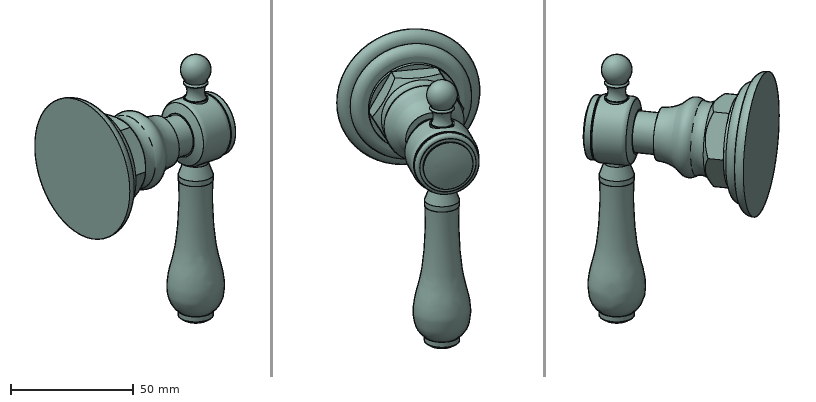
import cadquery as cq
import math


BASE_R = 29.97
BASE_TOP_Y = 4.75
BASE_TOP_R = 25.9
STEP_R = 25.4
STEP_TOP_Y = 9.5
STEP_TOP_R = 21.6
COLLAR_R = 18.9
COLLAR_TOP_Y = 11.25

HEX_ACROSS_FLATS = 33.4
HEX_CORNER_R = HEX_ACROSS_FLATS / math.sqrt(3)
HEX_CHAMFER_Y = 17.6
HEX_TOP_Y = 20.45
HEX_TOP_R = 16.0

WAIST_R = 15.15
WAIST_Y = 23.3
BULGE_START_R = 15.6
BULGE_START_Y = 25.9
BULGE_R = 16.65
BULGE_Y = 28.6
BULGE_END_R = 15.65
BULGE_END_Y = 31.6
CONE_END_R = 13.3
CONE_END_Y = 34.5
FLARE_MID_R = 11.8
FLARE_MID_Y = 38.0
BONNET_END_R = 11.15
BONNET_TOP_Y = 42.75
BONNET_EDGE_R = 11.0
BONNET_EDGE_Y = 42.0

SPINDLE_R = 5.0
STEM_START_Y = 43.3
STEM_R = 8.65

HUB_BACK_Y = 52.15
HUB_BACK_R = 9.3
HUB_R = 14.25
HUB_SHOULDER_R = 13.4
HUB_SHOULDER_Y = 53.7
HUB_SIDE_START_Y = 55.6
HUB_SIDE_END_Y = 66.0
HUB_FRONT_R = 13.6
HUB_FRONT_Y = 68.1

GROOVE_R = 12.9
CAP_R = 13.4
CAP_START_Y = 68.7
CAP_SIDE_END_Y = 70.6
CAP_RIM_R = 11.8
CAP_RIM_Y = 71.75
RECESS_Y = 71.5
INSERT_R = 10.4
INSERT_EDGE_Y = 72.45
CAP_APEX_Y = 73.61

LEVER_LENGTH = 118.75
LEVER_Y = 60.95
BALL_R = 6.3
BALL_TOP_Z = 33.1
BALL_CENTER_Z = BALL_TOP_Z - BALL_R
BALL_BOTTOM_Z = 23.2
BALL_NECK_R = 4.4
BALL_NECK_Z = 21.8
RING_R = 5.1
RING_Z = 20.9
RING_BOTTOM_R = 4.5
RING_BOTTOM_Z = 20.4
KNOB_NECK_R = 3.65
KNOB_NECK_Z = 17.3
KNOB_FOOT_R = 4.4
KNOB_FOOT_Z = 14.35
KNOB_SEAT_R = 5.0

HANDLE_ROOT_R = 5.2
HANDLE_ROOT_Z = -14.6
HANDLE_CONE_Z = -20.0
HANDLE_BAND_R = 7.2
HANDLE_BAND_Z = -22.4
GRIP_TOP_R = 7.05
GRIP_WAIST_R = 7.15
GRIP_WAIST_Z = -38.0
GRIP_FLARE_R = 9.1
GRIP_FLARE_Z = -55.0
GRIP_MAX_R = 11.8
GRIP_MAX_Z = -71.2
GRIP_LOWER_R = 10.4
GRIP_LOWER_Z = -76.8
GRIP_END_R = 7.0
GRIP_END_Z = -80.6
TIP_R = 7.25
TIP_END_Z = -82.8
TIP_DOME_R = 6.9
TIP_DOME_Z = -83.2
TIP_BOTTOM_Z = BALL_TOP_Z - LEVER_LENGTH


def quarter_bulge(start, end):
    """Midpoint of a convex quarter ellipse leaving `start` along the axis."""
    half = math.sqrt(0.5)
    radius = end[0] + (start[0] - end[0]) * half
    height = start[1] + (end[1] - start[1]) * half
    return radius, height


def tangent_arc_mid(start, end):
    """Half-height point of a circular arc leaving `start` along the axis and curving inwards to `end`."""
    drop = start[0] - end[0]
    rise = end[1] - start[1]
    arc_radius = (drop**2 + rise**2) / (2 * drop)
    radius = start[0] - arc_radius + math.sqrt(arc_radius**2 - (rise / 2) ** 2)
    return radius, start[1] + rise / 2


def dome_mid(edge, apex_height):
    """Point at half the edge radius on a spherical cap from `edge` to its apex on the axis."""
    rise = apex_height - edge[1]
    depth = abs(rise)
    sphere_radius = (edge[0] ** 2 + depth**2) / (2 * depth)
    radius = edge[0] / 2
    drop = sphere_radius - math.sqrt(sphere_radius**2 - radius**2)
    return radius, apex_height - math.copysign(drop, rise)


def spin(profile):
    """Revolve a closed (radius, height) profile about its vertical axis."""
    return profile.close().revolve(360, (0, 0), (0, 1))


def make_escutcheon():
    base_start = (BASE_R, 0)
    base_end = (BASE_TOP_R, BASE_TOP_Y)
    step_start = (STEP_R, BASE_TOP_Y)
    step_end = (STEP_TOP_R, STEP_TOP_Y)
    profile = (
        cq.Workplane("XY")
        .lineTo(*base_start)
        .threePointArc(quarter_bulge(base_start, base_end), base_end)
        .lineTo(*step_start)
        .threePointArc(quarter_bulge(step_start, step_end), step_end)
        .lineTo(COLLAR_R, STEP_TOP_Y)
        .lineTo(COLLAR_R, COLLAR_TOP_Y)
        .lineTo(0, COLLAR_TOP_Y)
    )
    return spin(profile)


def make_hex_nut():
    """Hexagon with flats facing +Z and -Z, trimmed by a cone at its outer end."""
    prism = (
        cq.Workplane("XZ", origin=(0, COLLAR_TOP_Y, 0))
        .polygon(6, 2 * HEX_CORNER_R)
        .extrude(COLLAR_TOP_Y - HEX_TOP_Y)
    )
    envelope = spin(
        cq.Workplane("XY")
        .lineTo(HEX_CORNER_R, 0)
        .lineTo(HEX_CORNER_R, HEX_CHAMFER_Y)
        .lineTo(HEX_TOP_R, HEX_TOP_Y)
        .lineTo(0, HEX_TOP_Y)
    )
    return prism.intersect(envelope)


def make_bonnet_and_stem():
    profile = (
        cq.Workplane("XY")
        .moveTo(0, COLLAR_TOP_Y)
        .lineTo(HEX_TOP_R, COLLAR_TOP_Y)
        .lineTo(HEX_TOP_R, HEX_TOP_Y)
        .threePointArc((WAIST_R, WAIST_Y), (BULGE_START_R, BULGE_START_Y))
        .threePointArc((BULGE_R, BULGE_Y), (BULGE_END_R, BULGE_END_Y))
        .lineTo(CONE_END_R, CONE_END_Y)
        .threePointArc((FLARE_MID_R, FLARE_MID_Y), (BONNET_END_R, BONNET_EDGE_Y))
        .lineTo(BONNET_EDGE_R, BONNET_TOP_Y)
        .lineTo(SPINDLE_R, BONNET_TOP_Y)
        .lineTo(SPINDLE_R, STEM_START_Y)
        .lineTo(STEM_R, STEM_START_Y)
        .lineTo(STEM_R, HUB_BACK_Y)
        .lineTo(0, HUB_BACK_Y)
    )
    return spin(profile)


def make_hub():
    shoulder = (HUB_SHOULDER_R, HUB_SHOULDER_Y)
    side_start = (HUB_R, HUB_SIDE_START_Y)
    side_end = (HUB_R, HUB_SIDE_END_Y)
    front = (HUB_FRONT_R, HUB_FRONT_Y)
    cap_side = (CAP_R, CAP_SIDE_END_Y)
    cap_rim = (CAP_RIM_R, CAP_RIM_Y)
    dome_edge = (INSERT_R, INSERT_EDGE_Y)
    profile = (
        cq.Workplane("XY")
        .moveTo(0, HUB_BACK_Y)
        .lineTo(HUB_BACK_R, HUB_BACK_Y)
        .lineTo(*shoulder)
        .threePointArc(tangent_arc_mid(side_start, shoulder), side_start)
        .lineTo(*side_end)
        .threePointArc(tangent_arc_mid(side_end, front), front)
        .lineTo(GROOVE_R, HUB_FRONT_Y)
        .lineTo(GROOVE_R, CAP_START_Y)
        .lineTo(CAP_R, CAP_START_Y)
        .lineTo(*cap_side)
        .threePointArc(quarter_bulge(cap_side, cap_rim), cap_rim)
        .lineTo(CAP_RIM_R, RECESS_Y)
        .lineTo(INSERT_R, RECESS_Y)
        .lineTo(*dome_edge)
        .threePointArc(dome_mid(dome_edge, CAP_APEX_Y), (0, CAP_APEX_Y))
    )
    return spin(profile)


def lever_plane():
    """Sketch plane holding (radius, z) profiles of the lever."""
    return cq.Workplane("XZ", origin=(0, LEVER_Y, 0))


def make_knob():
    ball_bottom_r = math.sqrt(BALL_R**2 - (BALL_CENTER_Z - BALL_BOTTOM_Z) ** 2)
    profile = (
        lever_plane()
        .lineTo(KNOB_SEAT_R, 0)
        .lineTo(KNOB_SEAT_R, KNOB_FOOT_Z)
        .lineTo(KNOB_FOOT_R, KNOB_FOOT_Z)
        .threePointArc((KNOB_NECK_R, KNOB_NECK_Z), (RING_BOTTOM_R, RING_BOTTOM_Z))
        .lineTo(RING_R, RING_Z)
        .lineTo(BALL_NECK_R, BALL_NECK_Z)
        .lineTo(ball_bottom_r, BALL_BOTTOM_Z)
        .threePointArc((BALL_R, BALL_CENTER_Z), (0, BALL_TOP_Z))
    )
    return spin(profile)


def make_handle():
    tip_edge = (TIP_DOME_R, TIP_DOME_Z)
    profile = (
        lever_plane()
        .lineTo(HANDLE_ROOT_R, 0)
        .lineTo(HANDLE_ROOT_R, HANDLE_ROOT_Z)
        .lineTo(HANDLE_BAND_R, HANDLE_CONE_Z)
        .lineTo(HANDLE_BAND_R, HANDLE_BAND_Z)
        .lineTo(GRIP_TOP_R, HANDLE_BAND_Z)
        .spline(
            [
                (GRIP_WAIST_R, GRIP_WAIST_Z),
                (GRIP_FLARE_R, GRIP_FLARE_Z),
                (GRIP_MAX_R, GRIP_MAX_Z),
                (GRIP_LOWER_R, GRIP_LOWER_Z),
                (GRIP_END_R, GRIP_END_Z),
            ],
            includeCurrent=True,
        )
        .lineTo(TIP_R, GRIP_END_Z)
        .lineTo(TIP_R, TIP_END_Z)
        .lineTo(*tip_edge)
        .threePointArc(dome_mid(tip_edge, TIP_BOTTOM_Z), (0, TIP_BOTTOM_Z))
    )
    return spin(profile)


def make_lever_valve():
    body = make_escutcheon()
    for piece in (make_hex_nut(), make_bonnet_and_stem(), make_hub(), make_knob(), make_handle()):
        body = body.union(piece)
    return body


result = cq.Workplane("XY").newObject([make_lever_valve().solids().val()])